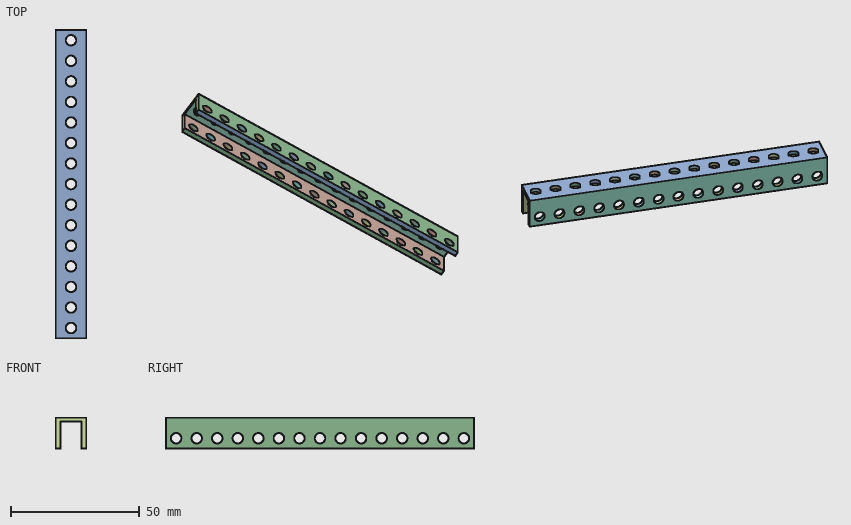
import cadquery as cq

width = 12.0
length = 120.0
height = 12.0
side_thickness = 2.0
web_thickness = 1.5

hole_diameter = 4.0
hole_count = 15
hole_pitch = length / hole_count
side_hole_height = 4.0

hole_positions = [(i - (hole_count - 1) / 2) * hole_pitch for i in range(hole_count)]


def make_channel():
    body = cq.Workplane("XY").box(width, length, height, centered=(True, True, False))
    inner_width = width - 2 * side_thickness
    inner_height = height - web_thickness
    groove = cq.Workplane("XY").box(inner_width, length, inner_height, centered=(True, True, False))
    return body.cut(groove)


def make_web_holes():
    points = [(0, y) for y in hole_positions]
    return cq.Workplane("XY").pushPoints(points).circle(hole_diameter / 2).extrude(height)


def make_side_holes():
    points = [(y, side_hole_height) for y in hole_positions]
    return cq.Workplane("YZ").pushPoints(points).circle(hole_diameter / 2).extrude(width / 2, both=True)


result = make_channel().cut(make_web_holes()).cut(make_side_holes())